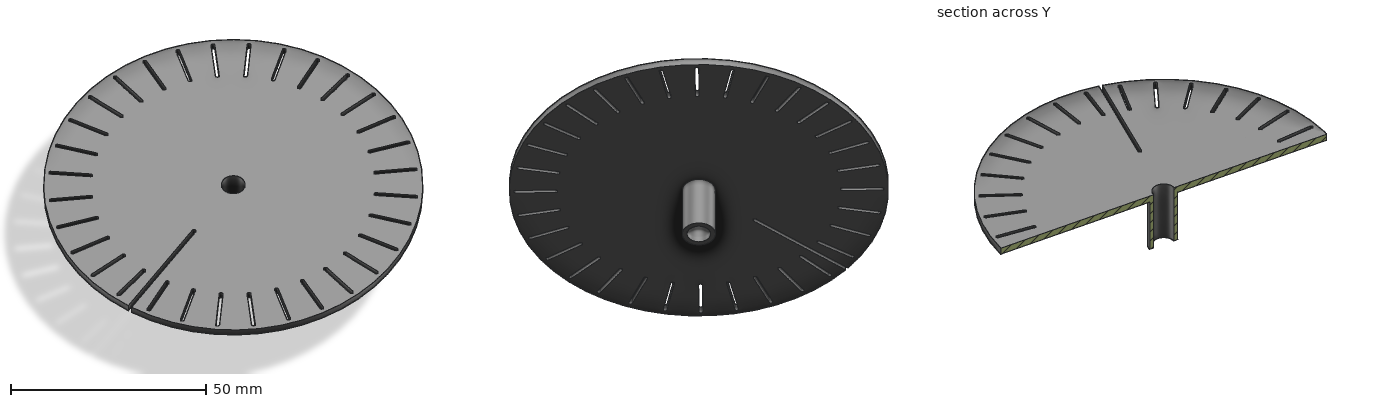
import cadquery as cq

disc_diameter = 97.0
overall_height = 17.0
disc_thickness = 2.0
hub_diameter = 8.4
bore_diameter = 6.0
hub_length = overall_height - disc_thickness

slot_count = 32
slot_width = 1.0
slot_inner_radius = 36.2
slot_outer_radius = 47.3
slot_pitch = 360.0 / slot_count

long_slot_inner_radius = 17.9
long_slot_angle = -90.0 - slot_pitch
rim_overrun = 1.9


def radial_slot(inner_radius, outer_radius, angle):
    """Round-ended cutter through the disc, lying along a radius at the given angle."""
    length = outer_radius - inner_radius
    middle_radius = (inner_radius + outer_radius) / 2
    return (
        cq.Workplane("XY")
        .center(middle_radius, 0)
        .slot2D(length, slot_width)
        .extrude(disc_thickness)
        .rotate((0, 0, 0), (0, 0, 1), angle)
    )


disc = cq.Workplane("XY").circle(disc_diameter / 2).extrude(disc_thickness)
hub = cq.Workplane("XY").circle(hub_diameter / 2).extrude(-hub_length)
body = disc.union(hub)

bore = (
    cq.Workplane("XY")
    .workplane(offset=-hub_length)
    .circle(bore_diameter / 2)
    .extrude(overall_height)
)
body = body.cut(bore)

for index in range(slot_count):
    slot_angle = (index + 0.5) * slot_pitch
    body = body.cut(radial_slot(slot_inner_radius, slot_outer_radius, slot_angle))

long_slot_outer_radius = disc_diameter / 2 + rim_overrun
result = body.cut(radial_slot(long_slot_inner_radius, long_slot_outer_radius, long_slot_angle))